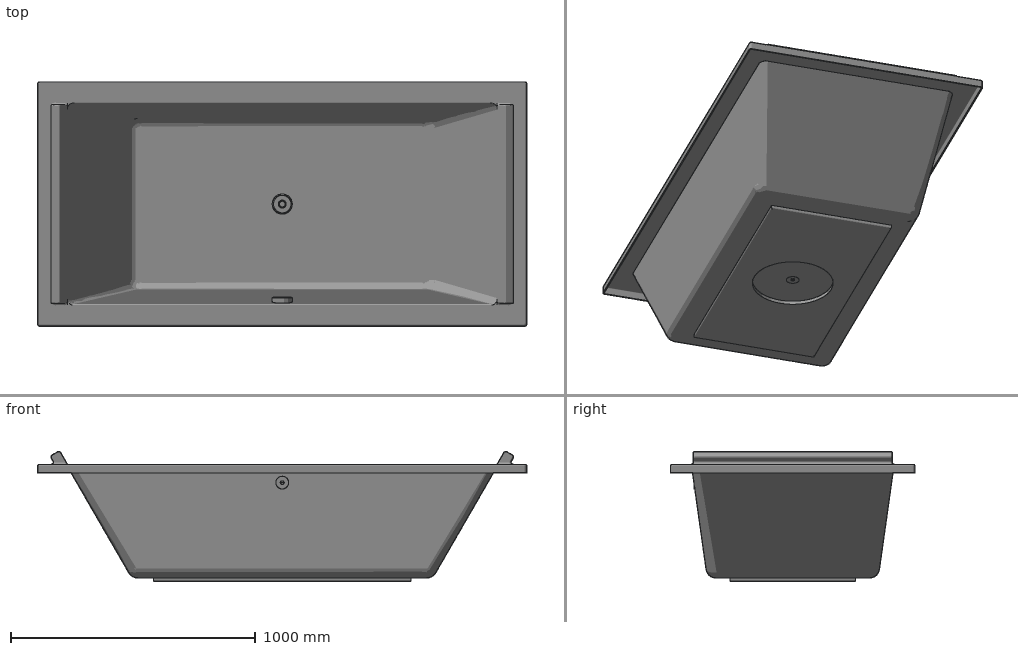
import cadquery as cq
import math


rim_length = 2000.0
rim_width = 1000.0
rim_thickness = 35.0
rim_corner_radius = 10.0
rim_edge_radius = 8.0

opening_half_length = 878.0
opening_half_width = 410.0
end_slope = math.radians(30)
side_slope = math.radians(8)
wall = 5.0
basin_depth = 460.0
opening_corner_radius = 25.0
floor_corner_radius = 38.0
floor_edge_radius = 39.0
opening_edge_radius = 6.0

roll_height = 52.07
roll_thickness = 45.0
roll_edge_radius = 10.0
roll_end_radius = 6.0
roll_foot_radius = 8.0
roll_half_width = 407.0
roll_root_depth = 4.0
roll_root_margin = 20.0

board_length = 1054.0
board_width = 514.0
board_thickness = 15.0
board_edge_radius = 6.0
board_hole_diameter = 330.0

cap_diameter = 82.0
cap_face_diameter = 72.0
cap_height = 20.0
dimple_diameter = 32.0
dimple_floor_diameter = 24.0
stem_diameter = 52.0
stem_hole_diameter = 14.5
stem_hole_depth = 4.0
overflow_drop = 75.0
overflow_reach = 15.0

pick_margin = 1.0

tub_bottom = -basin_depth - wall


def basin_ring(z, offset):
    """Straight and corner edges of the rounded rectangle across the basin at height z.

    The offset grows the rectangle outward to the far side of the wall.
    """
    half_length = opening_half_length + z * math.tan(end_slope) + offset / math.cos(end_slope)
    half_width = opening_half_width + z * math.tan(side_slope) + offset / math.cos(side_slope)
    radius_growth = (floor_corner_radius - opening_corner_radius) / basin_depth
    radius = opening_corner_radius - z * radius_growth + offset
    corner_points = []
    for index, (sign_x, sign_y) in enumerate([(1, 1), (-1, 1), (-1, -1), (1, -1)]):
        center = cq.Vector(sign_x * (half_length - radius), sign_y * (half_width - radius), z)
        points = []
        for half_step in range(3):
            angle = index * math.pi / 2 + half_step * math.pi / 4
            points.append(center + cq.Vector(math.cos(angle), math.sin(angle), 0) * radius)
        corner_points.append(points)
    corners = [cq.Edge.makeThreePointArc(*points) for points in corner_points]
    following = corner_points[1:] + corner_points[:1]
    straights = [cq.Edge.makeLine(a[-1], b[0]) for a, b in zip(corner_points, following)]
    return straights, corners


def basin_form(bottom, offset):
    """Tapered basin from the rim top down: flat walls, conical corners, rounded floor edge."""
    low_straights, low_corners = basin_ring(bottom, offset)
    high_straights, high_corners = basin_ring(0, offset)
    faces = []
    for low, high in zip(low_straights, high_straights):
        outline = [low.startPoint(), low.endPoint(), high.endPoint(), high.startPoint()]
        faces.append(cq.Face.makeFromWires(cq.Wire.makePolygon(outline, close=True)))
    for low, high in zip(low_corners, high_corners):
        faces.append(cq.Face.makeRuledSurface(low, high))
    for ring in (low_straights + low_corners, high_straights + high_corners):
        faces.append(cq.Face.makeFromWires(cq.Wire.assembleEdges(ring)))
    form = cq.Workplane(cq.Solid.makeSolid(cq.Shell.makeShell(faces)))
    return form.faces("<Z").edges().fillet(floor_edge_radius + offset)


def make_rim():
    rim = cq.Workplane().box(rim_length, rim_width, rim_thickness, centered=(True, True, False))
    rim = rim.translate((0, 0, -rim_thickness))
    rim = rim.edges("|Z").fillet(rim_corner_radius).faces(">Z").edges().fillet(rim_edge_radius)
    return rim.faces("<Z").shell(-wall)


def polar_offset(point, distance, angle):
    return (point[0] + distance * math.cos(angle), point[1] + distance * math.sin(angle))


def end_wall_x(z):
    """X of the inner face of the -X end wall at height z."""
    return -opening_half_length - z * math.tan(end_slope)


def make_roll():
    """Roll at the -X end: carries the end wall on upward, its outer edges rounded.

    A thin root plate under it lies in the rim sheet and gives the foot fillet its base.
    """
    peak_drop = roll_edge_radius * (math.sin(end_slope) + math.cos(end_slope) - 1)
    corner_z = roll_height + peak_drop
    inner_top = (end_wall_x(corner_z), corner_z)
    outer_top = polar_offset(inner_top, roll_thickness, math.pi + end_slope)
    outer_foot = (outer_top[0] + outer_top[1] * math.tan(end_slope), 0)
    inner_foot = (end_wall_x(0), 0)
    profile = cq.Workplane("XZ").polyline([inner_top, outer_top, outer_foot, inner_foot]).close()
    roll = profile.extrude(roll_half_width, both=True)
    roll = roll.edges("|Y").edges(">Z or <X").fillet(roll_edge_radius)
    outside = cq.selectors.BoxSelector(
        (-rim_length / 2, -rim_width / 2, 0),
        (inner_top[0] + pick_margin, rim_width / 2, roll_height),
    )
    roll = roll.faces("|Y").edges("not <Z").edges(outside).fillet(roll_end_radius)

    inner_root = (end_wall_x(-roll_root_depth), -roll_root_depth)
    outer_x = outer_foot[0] - roll_root_margin
    plate_outline = [inner_foot, (outer_x, 0), (outer_x, -roll_root_depth), inner_root]
    plate = cq.Workplane("XZ").polyline(plate_outline).close()
    roll = roll.union(plate.extrude(roll_half_width + roll_root_margin, both=True))
    foot_edges = cq.selectors.BoxSelector(
        (outer_foot[0] - pick_margin, -roll_half_width - pick_margin, -pick_margin),
        (inner_foot[0] + pick_margin, roll_half_width + pick_margin, pick_margin),
        boundingbox=True,
    )
    return roll.edges(foot_edges).fillet(roll_foot_radius)


def make_tub():
    tub = make_rim().union(outer_form).cut(inner_form)
    opening_edges = cq.selectors.BoxSelector(
        (-opening_half_length, -opening_half_width - pick_margin, -pick_margin),
        (opening_half_length, opening_half_width + pick_margin, pick_margin),
    )
    tub = tub.faces(">Z").edges("|X").edges(opening_edges).fillet(opening_edge_radius)
    roll = make_roll()
    tub = tub.union(roll).union(roll.mirror("YZ"))
    tub = tub.cut(place_at_drain(make_stem(wall)))
    return tub.cut(place_at_overflow(make_stem(overflow_reach)))


def make_board():
    board = cq.Workplane().box(board_length, board_width, board_thickness)
    board = board.faces("<Z").edges().fillet(board_edge_radius)
    board = board.cut(cq.Workplane().circle(board_hole_diameter / 2).extrude(board_thickness, both=True))
    return board.translate((0, 0, tub_bottom - board_thickness / 2))


def make_cap(skirt):
    """Round cap with a dimpled face, facing +Z, that reaches a skirt length below Z = 0."""
    cap = cq.Workplane().workplane(offset=-skirt).circle(cap_diameter / 2).extrude(cap_height + skirt)
    cap = cap.faces(">Z").edges().chamfer((cap_diameter - cap_face_diameter) / 2)
    dimple_depth = (dimple_diameter - dimple_floor_diameter) / 2
    dimple = cq.Workplane().circle(dimple_diameter / 2).workplane(offset=-dimple_depth)
    dimple = dimple.circle(dimple_floor_diameter / 2).loft()
    return cap.cut(dimple.translate((0, 0, cap_height)))


def make_stem(length):
    return cq.Workplane().circle(stem_diameter / 2).extrude(-length)


def make_stem_hole(stem_length):
    hole = cq.Workplane().workplane(offset=-2 * stem_length).circle(stem_hole_diameter / 2)
    return hole.extrude(stem_length + stem_hole_depth)


def place_at_drain(shape):
    return shape.translate((0, 0, -basin_depth))


def place_at_overflow(shape):
    """Turn the axis level, facing +Y, on the inner face of the -Y wall."""
    wall_y = -opening_half_width + overflow_drop * math.tan(side_slope)
    return shape.rotate((0, 0, 0), (1, 0, 0), -90).translate((0, wall_y, -overflow_drop))


def make_drain():
    return place_at_drain(make_cap(0).union(make_stem(wall)).cut(make_stem_hole(wall)))


def make_overflow():
    """Level cap on the leaning wall; its stem ends flush above its axis and upright below."""
    stem_length = wall / math.cos(side_slope)
    cap = place_at_overflow(make_cap(overflow_reach)).intersect(inner_form)
    flush_stem = place_at_overflow(make_stem(overflow_reach)).intersect(outer_form)
    upright_stem = place_at_overflow(make_stem(stem_length))
    overflow = cap.union(flush_stem).union(upright_stem)
    return overflow.cut(place_at_overflow(make_stem_hole(stem_length)))


inner_form = basin_form(-basin_depth, 0)
outer_form = basin_form(tub_bottom, wall)

tub = make_tub()
board = make_board()
drain = make_drain()
overflow = make_overflow()

result = cq.Compound.makeCompound([tub.val(), board.val(), drain.val(), overflow.val()])